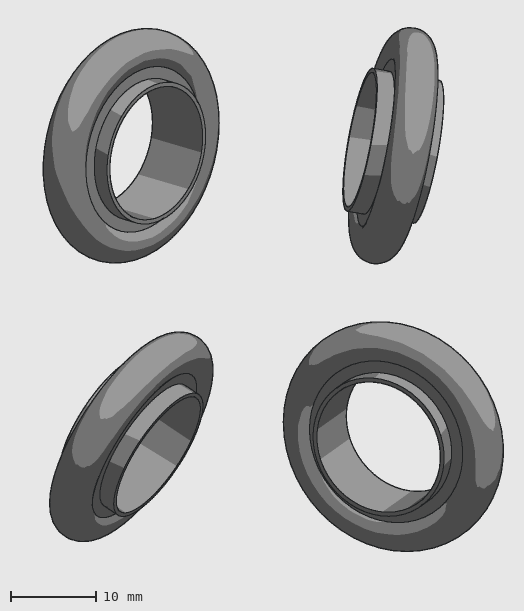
import cadquery as cq

outer_diameter = 28.0
rim_width = 5.0
sleeve_length = 8.0
sleeve_diameter = 17.0
bore_diameter = 16.0
web_thickness = 3.92

rim_radius = rim_width / 2
rim_center_radius = outer_diameter / 2 - rim_radius


def cylinder(diameter, length):
    """Solid cylinder along X, centred on the origin."""
    return cq.Workplane("YZ", origin=(-length / 2, 0, 0)).circle(diameter / 2).extrude(length)


rim = (
    cq.Workplane("XY")
    .center(0, rim_center_radius)
    .circle(rim_radius)
    .revolve(360, (0, -rim_center_radius), (1, -rim_center_radius))
)

web = cylinder(2 * rim_center_radius, web_thickness)
sleeve = cylinder(sleeve_diameter, sleeve_length)
bore = cylinder(bore_diameter, sleeve_length)

result = rim.union(web).union(sleeve).cut(bore)